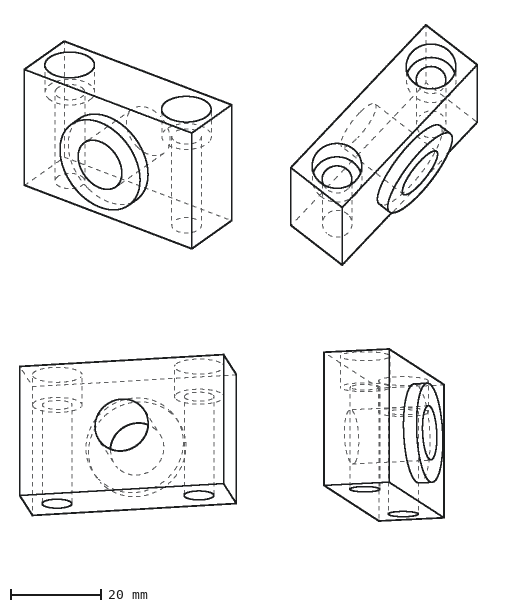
import cadquery as cq

block_length = 46.0
block_height = 30.0
block_depth = 15.0

boss_diameter = 22.0
boss_height = 3.0
bore_diameter = 12.0

bolt_spacing = 32.0
bolt_diameter = 6.6
counterbore_diameter = 11.0
counterbore_depth = 7.0


def make_block():
    """Block centred in X and Z, running back from the front face."""
    return cq.Workplane("XY").box(block_length, block_depth, block_height).translate((0, block_depth / 2, 0))


def add_bored_boss(body):
    """Add the front boss and bore right through it and the block."""
    boss = cq.Workplane("XZ").circle(boss_diameter / 2).extrude(boss_height)
    bore = (
        cq.Workplane("XZ", origin=(0, block_depth, 0))
        .circle(bore_diameter / 2)
        .extrude(block_depth + boss_height)
    )
    return body.union(boss).cut(bore)


def cut_bolt_holes(body):
    """Cut both counterbored holes down from the top face."""
    return (
        body.faces(">Z")
        .workplane(origin=(0, block_depth / 2, 0))
        .pushPoints([(side * bolt_spacing / 2, 0) for side in (-1, 1)])
        .cboreHole(bolt_diameter, counterbore_diameter, counterbore_depth)
    )


result = cut_bolt_holes(add_bored_boss(make_block()))